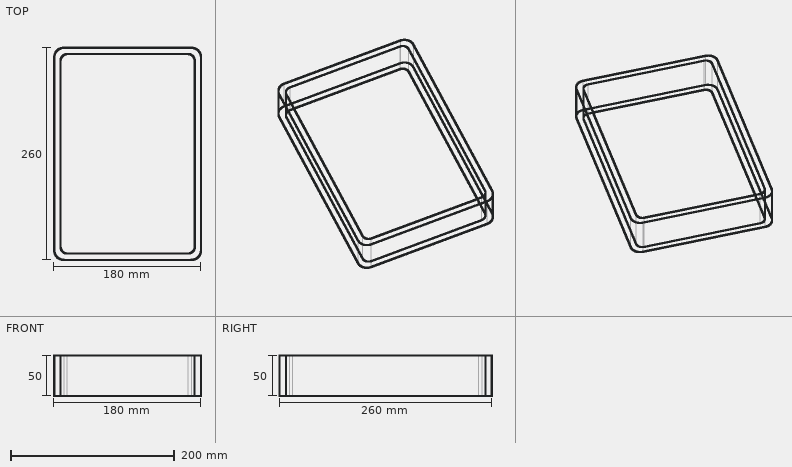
import cadquery as cq

frame_width = 180.0
frame_length = 260.0
frame_height = 50.0

wall_thickness = 8.0
outer_corner_radius = 12.0
inner_corner_radius = 8.0


def rounded_block(width, length, corner_radius):
    """Full-height block with rounded vertical edges, standing on Z = 0."""
    block = cq.Workplane("XY").rect(width, length).extrude(frame_height)
    return block.edges("|Z").fillet(corner_radius)


opening_width = frame_width - 2 * wall_thickness
opening_length = frame_length - 2 * wall_thickness

outer_block = rounded_block(frame_width, frame_length, outer_corner_radius)
opening = rounded_block(opening_width, opening_length, inner_corner_radius)

result = outer_block.cut(opening)